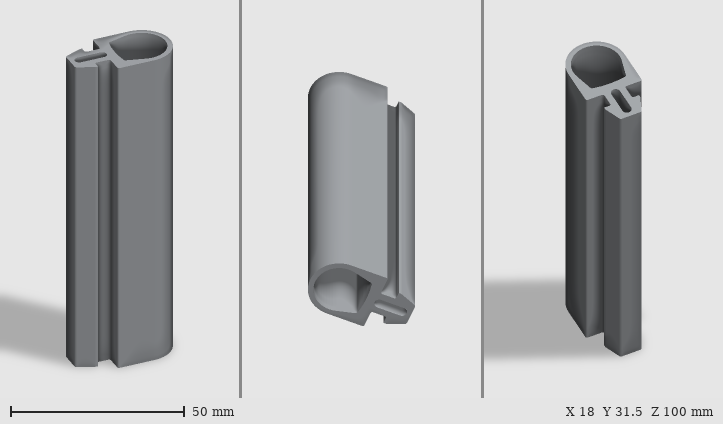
import cadquery as cq
import math

length = 100.0
width = 18.0
height = 31.5
half_width = width / 2
bulb_center_y = height - half_width

base_bottom_y = 11.0
base_corner_radius = 0.5
neck_half_width = 3.4
neck_corner_radius = 0.6
barb_half_width = 5.6
barb_top_y = 6.2
barb_edge_height = 0.8
tip_half_width = 3.4
tip_corner_radius = 0.8

wall = 1.6
cavity_radius = half_width - wall
floor_half_width = 5.6
floor_edge_y = 14.6
floor_sag = 0.6
floor_corner_radius = 0.6

slot_width = 2.8
slot_bottom_y = 1.4
slot_top_y = 11.4


def make_bulb():
    """D-shaped outer body with rounded lower corners."""
    body = (
        cq.Workplane("XY")
        .moveTo(-half_width, base_bottom_y)
        .lineTo(half_width, base_bottom_y)
        .lineTo(half_width, bulb_center_y)
        .threePointArc((0, height), (-half_width, bulb_center_y))
        .close()
        .extrude(length)
    )
    return body.edges("|Z").edges("<Y").fillet(base_corner_radius)


def make_stem():
    """Neck and tapered barb, from the tip up to the underside of the base."""
    barb_edge_y = barb_top_y - barb_edge_height
    right_side = [
        (tip_half_width, 0),
        (barb_half_width, barb_edge_y),
        (barb_half_width, barb_top_y),
        (neck_half_width, barb_top_y),
        (neck_half_width, base_bottom_y),
    ]
    left_side = [(-x, y) for x, y in reversed(right_side)]
    stem = cq.Workplane("XY").polyline(right_side + left_side).close().extrude(length)
    return stem.edges("|Z").edges("<Y").fillet(tip_corner_radius)


def round_neck(part):
    """Fillet the inner corners where the neck meets the base and the barb."""
    for x in (-neck_half_width, neck_half_width):
        for y in (barb_top_y, base_bottom_y):
            corner = cq.selectors.NearestToPointSelector((x, y, length / 2))
            part = part.edges("|Z").edges(corner).fillet(neck_corner_radius)
    return part


def make_cavity():
    """Round-topped hollow with sides tangent to the arc and a slightly dished floor."""
    drop = bulb_center_y - floor_edge_y
    corner_distance = math.hypot(floor_half_width, drop)
    tangent_angle = math.acos(cavity_radius / corner_distance) - math.atan2(drop, floor_half_width)
    tangent_x = cavity_radius * math.cos(tangent_angle)
    tangent_y = bulb_center_y + cavity_radius * math.sin(tangent_angle)
    cavity = (
        cq.Workplane("XY")
        .moveTo(tangent_x, tangent_y)
        .threePointArc((0, bulb_center_y + cavity_radius), (-tangent_x, tangent_y))
        .lineTo(-floor_half_width, floor_edge_y)
        .threePointArc((0, floor_edge_y - floor_sag), (floor_half_width, floor_edge_y))
        .close()
        .extrude(length)
    )
    return cavity.edges("|Z").edges("<Y").fillet(floor_corner_radius)


def make_slot():
    """Round-ended slot along the middle of the stem."""
    return (
        cq.Workplane("XY")
        .center(0, (slot_bottom_y + slot_top_y) / 2)
        .slot2D(slot_top_y - slot_bottom_y, slot_width, 90)
        .extrude(length)
    )


result = round_neck(make_bulb().union(make_stem())).cut(make_cavity()).cut(make_slot())